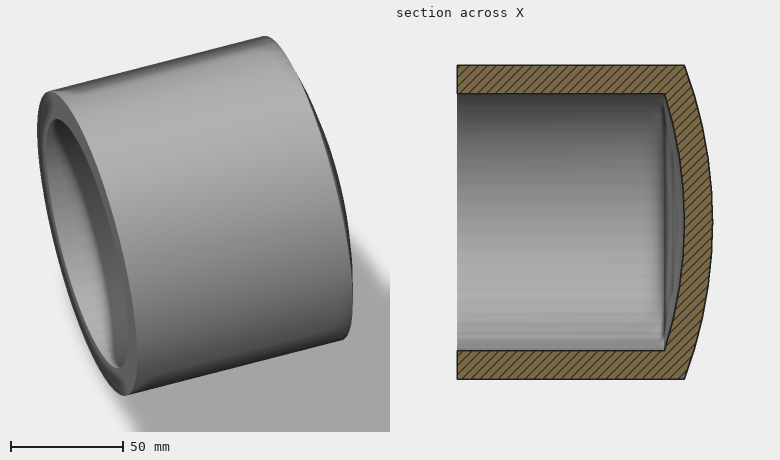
import cadquery as cq
import math

outer_radius = 70.0
wall = 12.7
total_length = 113.8
dome_height = 12.6

inner_radius = outer_radius - wall

dome_radius = (outer_radius**2 + dome_height**2) / (2 * dome_height)
dome_center_y = total_length - dome_radius
inner_dome_radius = dome_radius - wall


def domed_plug(radius, sphere_radius):
    """Solid cylinder along Y from the open end, capped by the dome sphere."""
    edge_y = dome_center_y + math.sqrt(sphere_radius**2 - radius**2)
    middle_x = radius / 2
    middle_y = dome_center_y + math.sqrt(sphere_radius**2 - middle_x**2)
    return (
        cq.Workplane("XY")
        .lineTo(radius, 0)
        .lineTo(radius, edge_y)
        .threePointArc((middle_x, middle_y), (0, dome_center_y + sphere_radius))
        .close()
        .revolve(360, (0, 0, 0), (0, 1, 0))
    )


body = domed_plug(outer_radius, dome_radius)
cavity = domed_plug(inner_radius, inner_dome_radius)
result = body.cut(cavity)